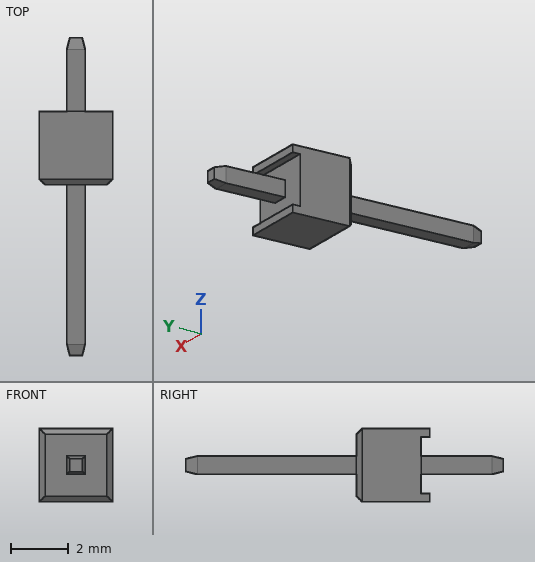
import cadquery as cq

pitch = 2.54
body_chamfer = 0.2
recess_depth = 0.3
lip_height = 0.3

pin_width = 0.64
front_length = 5.9
overall_length = 10.98
taper_length = 0.4
tip_width = 0.44

rear_end = overall_length - front_length


def make_body():
    """Cube with a chamfered front rim and a full-width recess across the rear face."""
    block = cq.Workplane("XY").box(pitch, pitch, pitch).translate((0, pitch / 2, 0))
    block = block.faces("<Y").chamfer(body_chamfer)
    recess = cq.Workplane("XY").box(pitch, recess_depth, pitch - 2 * lip_height)
    return block.cut(recess.translate((0, pitch - recess_depth / 2, 0)))


def make_taper(base_y, tip_y):
    """Pyramid frustum from the full pin section at base_y to the small end at tip_y."""
    base_plane = cq.Workplane("XZ", origin=(0, base_y, 0))
    return (
        base_plane.rect(pin_width, pin_width)
        .workplane(offset=base_y - tip_y)
        .rect(tip_width, tip_width)
        .loft(ruled=True)
    )


def make_pin():
    """Straight square shank with a tapered tip at each end."""
    shank_front = -front_length + taper_length
    shank_rear = rear_end - taper_length
    shank_length = shank_rear - shank_front
    shank = cq.Workplane("XY").box(pin_width, shank_length, pin_width)
    shank = shank.translate((0, (shank_front + shank_rear) / 2, 0))
    front_tip = make_taper(shank_front, -front_length)
    rear_tip = make_taper(shank_rear, rear_end)
    return shank.union(front_tip).union(rear_tip)


result = make_body().union(make_pin())